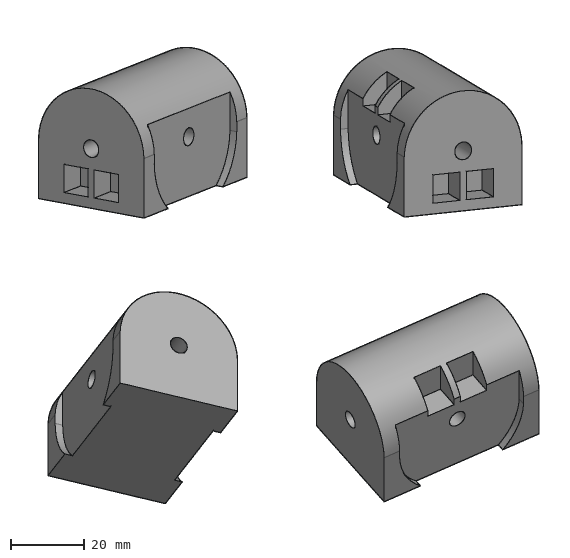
import cadquery as cq

width = 35
length = 50
height = 34
spring_height = height / 2

hole_diameter = 5

recess_depth = 2.25
recess_width = 40
recess_floor_width = 26.5
recess_corner_radius = 20
recess_arc_top = 14.15

end_pocket_size = 8
end_pocket_bottom = 3.1
end_pocket_depth = end_pocket_size

notch_length = 8.5
notch_floor = 23
notch_wall_x = -8.15

pair_gap = 2


def box_between(x_range, y_range, z_range):
    """Box spanning the given (low, high) range on each axis."""
    sizes = [high - low for low, high in (x_range, y_range, z_range)]
    corner = (x_range[0], y_range[0], z_range[0])
    return cq.Workplane("XY").box(*sizes, centered=False).translate(corner)


def make_body():
    return (
        cq.Workplane("XZ")
        .moveTo(-width / 2, 0)
        .lineTo(width / 2, 0)
        .lineTo(width / 2, spring_height)
        .threePointArc((0, height), (-width / 2, spring_height))
        .close()
        .extrude(length / 2, both=True)
    )


def make_side_recess(side):
    """Recess cutter for the -X (side = -1) or +X (side = 1) face, curved below and open above."""
    inner_x = width / 2 - recess_depth
    start_x = min(side * inner_x, side * width / 2)
    return (
        cq.Workplane("YZ", origin=(start_x, 0, 0))
        .moveTo(-recess_floor_width / 2, 0)
        .lineTo(recess_floor_width / 2, 0)
        .radiusArc((recess_width / 2, recess_arc_top), -recess_corner_radius)
        .lineTo(recess_width / 2, height)
        .lineTo(-recess_width / 2, height)
        .lineTo(-recess_width / 2, recess_arc_top)
        .radiusArc((-recess_floor_width / 2, 0), -recess_corner_radius)
        .close()
        .extrude(recess_depth)
    )


def make_end_pocket(side):
    x_range = sorted((side * pair_gap / 2, side * (pair_gap / 2 + end_pocket_size)))
    y_range = (-length / 2, -length / 2 + end_pocket_depth)
    z_range = (end_pocket_bottom, end_pocket_bottom + end_pocket_size)
    return box_between(x_range, y_range, z_range)


def make_shoulder_notch(side):
    y_range = sorted((side * pair_gap / 2, side * (pair_gap / 2 + notch_length)))
    return box_between((-width / 2, notch_wall_x), y_range, (notch_floor, height))


def make_cross_hole(plane, span):
    return (
        cq.Workplane(plane)
        .center(0, height / 2)
        .circle(hole_diameter / 2)
        .extrude(span / 2, both=True)
    )


result = make_body()
for side in (-1, 1):
    result = result.cut(make_side_recess(side))
    result = result.cut(make_end_pocket(side))
    result = result.cut(make_shoulder_notch(side))
result = result.cut(make_cross_hole("XZ", length))
result = result.cut(make_cross_hole("YZ", width))